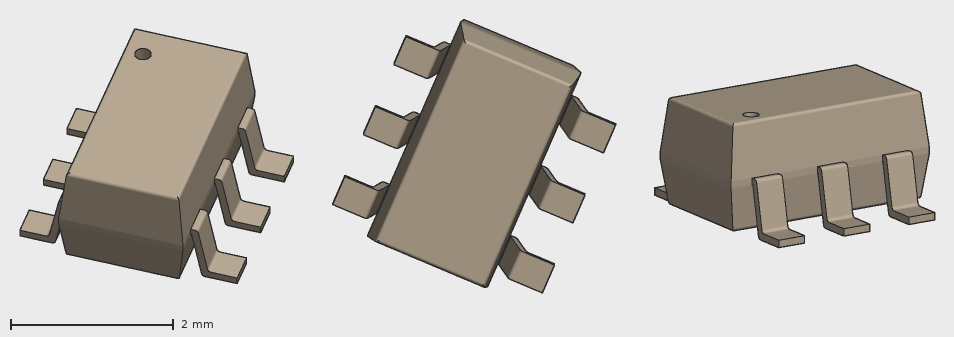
import cadquery as cq
import math

BODY_WIDTH = 1.605
BODY_LENGTH = 2.9
BODY_TOP = 1.45
BODY_BOTTOM = 0.075
BAND_TOP = 0.745
BAND_HEIGHT = 0.087
TAPER_INSET = 0.078
BODY_FILLET = 0.044

MARK_DIAMETER = 0.2
MARK_DEPTH = 0.2
MARK_X = -0.48

LEAD_SPAN = 2.8
LEAD_WIDTH = 0.38
LEAD_THICKNESS = 0.095
LEAD_PITCH = 0.95
LEADS_PER_SIDE = 3
LEAD_TILT = 11.5
SHOULDER_REACH = 0.093
BEND_RADIUS = 0.05

BAND_BOTTOM = BAND_TOP - BAND_HEIGHT
LEAD_ROWS = [(i - (LEADS_PER_SIDE - 1) / 2) * LEAD_PITCH for i in range(LEADS_PER_SIDE)]


def tapered_block(height):
    """Block standing on Z = 0 with the band's outline, its sides leaning in by TAPER_INSET."""
    taper = math.degrees(math.atan(TAPER_INSET / height))
    block = cq.Workplane("XY").rect(BODY_WIDTH, BODY_LENGTH).extrude(height, taper=taper)
    return block.faces(">Z").edges().fillet(BODY_FILLET)


def make_body():
    band = cq.Workplane("XY", origin=(0, 0, BAND_BOTTOM)).rect(BODY_WIDTH, BODY_LENGTH).extrude(BAND_HEIGHT)
    upper = tapered_block(BODY_TOP - BAND_TOP).translate((0, 0, BAND_TOP))
    lower = tapered_block(BAND_BOTTOM - BODY_BOTTOM).mirror("XY").translate((0, 0, BAND_BOTTOM))
    mark = (
        cq.Workplane("XY", origin=(MARK_X, max(LEAD_ROWS), BODY_TOP - MARK_DEPTH))
        .circle(MARK_DIAMETER / 2)
        .extrude(MARK_DEPTH)
    )
    return band.union(upper).union(lower).cut(mark)


def make_lead():
    """Lead on the +X side, centred on Y = 0, butting against the parting band."""
    tilt = math.radians(LEAD_TILT)
    lean = math.tan(tilt)
    leg_width_x = LEAD_THICKNESS / math.cos(tilt)
    body_side = BODY_WIDTH / 2
    toe = LEAD_SPAN / 2
    shoulder = body_side + SHOULDER_REACH
    ankle = shoulder + (BAND_TOP - LEAD_THICKNESS) * lean
    heel = shoulder + BAND_TOP * lean - leg_width_x
    inner_corner = shoulder + BAND_HEIGHT * lean - leg_width_x

    profile = [
        (body_side, BAND_TOP),
        (shoulder, BAND_TOP),
        (ankle, LEAD_THICKNESS),
        (toe, LEAD_THICKNESS),
        (toe, 0),
        (heel, 0),
        (inner_corner, BAND_BOTTOM),
        (body_side, BAND_BOTTOM),
    ]
    lead = cq.Workplane("XZ").polyline(profile).close().extrude(LEAD_WIDTH / 2, both=True)
    for bend_x, bend_z in [(shoulder, BAND_TOP), (ankle, LEAD_THICKNESS), (heel, 0)]:
        bend_edge = cq.selectors.NearestToPointSelector((bend_x, 0, bend_z))
        lead = lead.edges("|Y").edges(bend_edge).fillet(BEND_RADIUS)
    return lead


def place_leads():
    right_lead = make_lead()
    left_lead = right_lead.rotate((0, 0, 0), (0, 0, 1), 180)
    placed = []
    for lead in (left_lead, right_lead):
        for row_y in LEAD_ROWS:
            placed.append(lead.translate((0, row_y, 0)).val())
    return placed


body = make_body()
leads = place_leads()

result = cq.Compound.makeCompound([body.val(), *leads])